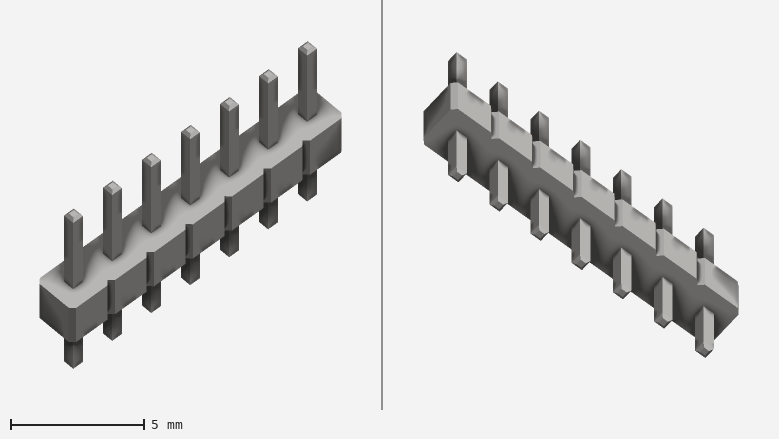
import cadquery as cq

pin_count = 7
pitch = 2.0
body_width = 2.0
body_height = 2.0
corner_chamfer = 0.2

pin_side = 0.5
pin_above_body = 4.0
pin_below_body = 2.8
pin_tip_chamfer = 0.125

pin_length = pin_below_body + body_height + pin_above_body
row_positions = [(i - (pin_count - 1) / 2) * pitch for i in range(pin_count)]


def body_segment(y):
    """One octagonal body cell, standing on Z = 0."""
    return (
        cq.Workplane("XY")
        .box(body_width, pitch, body_height, centered=(True, True, False))
        .edges("|Z")
        .chamfer(corner_chamfer)
        .translate((0, y, 0))
    )


def pin(y):
    """One square pin through the body, with both tips chamfered."""
    return (
        cq.Workplane("XY")
        .box(pin_side, pin_side, pin_length, centered=(True, True, False))
        .faces("<Z or >Z")
        .edges()
        .chamfer(pin_tip_chamfer)
        .translate((0, y, -pin_below_body))
    )


body = body_segment(row_positions[0])
for position in row_positions[1:]:
    body = body.union(body_segment(position))
body = body.clean()

result = body
for position in row_positions:
    result = result.union(pin(position))